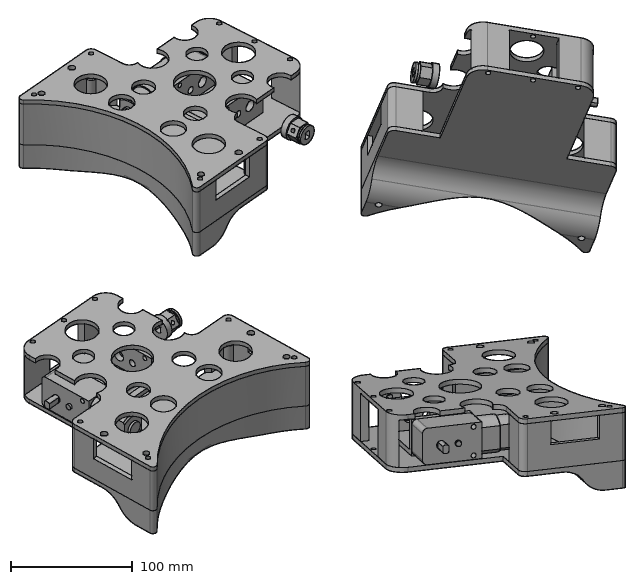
import cadquery as cq
import math


width = 194.37
length = 189.54
height = 69.77
plate = 4.24
saddle_drop = 19.8
wall_height = height - saddle_drop - 2 * plate
cover_z = plate + wall_height

half_width = width / 2
neck_half = 53.9
shoulder_y = -97.2
arc_apex_y = -152.6
rear_corner_r = 14.14
notch_r = 8.49
shoulder_corner_r = 5.66
tip_r = 3.54

wall = 4.24
rear_wall = 7.07
rear_wall_fillet = 1.4
rear_opening = 42.4
window_length = 42.4
window_height = 20.5
window_rear_y = -123.4
post_r = 4.24
post_height = 21.2
shoulder_gap_half = 68.5

screw_d = 4.24
rear_screw_x = 38.2
rear_screw_y = -rear_wall / 2
shoulder_screw = (91.1, -103.5)
tip_screw = (89.8, -177.2)
through_hole = (86.2, -172.0)
through_hole_d = 5.66
cover_hole = (90.2, -129.0)
cover_hole_d = 6.2

centre_openings = [(0, -23.6, 28.0), (0, -79.3, 34.9)]
paired_openings = [
    (51.8, -31.3, 22.0),
    (48.2, -76.1, 26.8),
    (24.7, -47.6, 18.2),
    (27.9, -111.0, 19.6),
    (27.9, -138.7, 21.5),
    (63.8, -135.9, 27.3),
]

saddle_start_y = -133.7
saddle_end_y = -171.0

gearbox_height = 31.7
gearbox_left = -53.2
gearbox_rear_y = -27.2
gearbox_front_y = -78.9
gearbox_corner_r = 4.24
mount_left = -28.0
mount_right = 29.0
mount_rear_y = -26.8
mount_front_y = -79.4
mount_wall = 5.66
mount_floor = 4.24
axis_y = -43.3
axis_z = plate + gearbox_height / 2
shaft_d = 7.6
shaft_flats = 5.3
shaft_length = 11.8
shaft_collar = 0.5
peg_y = -58.1
peg_d = 5.0
peg_length = 2.1
motor_screw_y = -71.8
motor_screw_dz = 12.4
shaft_clearance_d = 9.9
peg_clearance_d = 6.3
motor_axis_x = -39.6
neck_half_width = 11.6
can_half_width = 10.4
can_flat_half = 10.1
neck_rise = gearbox_height / 2
can_rise = 14.6
neck_end_y = -95.9
can_end_y = -107.7
cap_end_y = -115.6
cap_chamfer = 1.4
cap_rise = 13.4
bearing_r = 6.2
bearing_end_y = -118.0
terminal_reach = 2.0
terminal_rear_y = -107.9
terminal_width = 4.3
terminal_height = 2.8

hub_left = 71.4
flange_r = 10.4
flange_length = 5.7
hex_radius = 9.65
hex_length = 9.9
groove_r = 7.8
groove_length = 2.0
ring_r = 8.7
ring_length = 2.2
set_screw_d = 3.5
set_screw_from_flange = 4.6


def box(x0, x1, y0, y1, z0, z1):
    """Axis-aligned block between two opposite corners."""
    return cq.Workplane("XY").box(x1 - x0, y1 - y0, z1 - z0, centered=False).translate((x0, y0, z0))


def cylinder_x(x0, x1, y, z, diameter):
    """Cylinder lying along X."""
    return cq.Workplane("YZ", origin=(x0, y, z)).circle(diameter / 2).extrude(x1 - x0)


def cylinders_z(points, diameter, z0, z1):
    """Upright cylinders at the given points."""
    return cq.Workplane("XY", origin=(0, 0, z0)).pushPoints(points).circle(diameter / 2).extrude(z1 - z0)


def mirrored(points):
    """The points together with their mirror images across X = 0."""
    return [(side * x, y) for x, y in points for side in (-1, 1)]


tip_x = half_width - tip_r
tip_y = -length + tip_r
arc_drop = arc_apex_y - tip_y
front_arc_r = (tip_x**2 + arc_drop**2 - tip_r**2) / (2 * (tip_r + arc_drop))
arc_centre_y = arc_apex_y - front_arc_r


def plan_prism(z0, z1, rounded_notch):
    """Upright prism with the full plan outline; the inner corners at the shoulders may be rounded."""
    reach = front_arc_r / (front_arc_r + tip_r)
    touch_x = tip_x * reach
    touch_y = arc_centre_y + (tip_y - arc_centre_y) * reach
    middle = math.atan2(arc_centre_y - tip_y, -tip_x) / 2
    middle_x = tip_x + tip_r * math.cos(middle)
    middle_y = tip_y + tip_r * math.sin(middle)
    prism = (
        cq.Workplane("XY", origin=(0, 0, z0))
        .moveTo(-neck_half, 0)
        .lineTo(neck_half, 0)
        .lineTo(neck_half, shoulder_y)
        .lineTo(half_width, shoulder_y)
        .lineTo(half_width, tip_y)
        .threePointArc((middle_x, middle_y), (touch_x, touch_y))
        .threePointArc((0, arc_apex_y), (-touch_x, touch_y))
        .threePointArc((-middle_x, middle_y), (-half_width, tip_y))
        .lineTo(-half_width, shoulder_y)
        .lineTo(-neck_half, shoulder_y)
        .close()
        .extrude(z1 - z0)
    )

    def round_edges(body, x, y, radius):
        for side in (-1, 1):
            corner = cq.selectors.NearestToPointSelector((side * x, y, (z0 + z1) / 2))
            body = body.edges("|Z").edges(corner).fillet(radius)
        return body

    prism = round_edges(prism, neck_half, 0, rear_corner_r)
    if rounded_notch:
        prism = round_edges(prism, neck_half, shoulder_y, notch_r)
    return round_edges(prism, half_width, shoulder_y, shoulder_corner_r)


rear_screws = [(-rear_screw_x, rear_screw_y), (0, rear_screw_y), (rear_screw_x, rear_screw_y)]


def drill_through(body):
    """Rear screw holes and front dowel holes, shared by base, walls and cover."""
    body = body.cut(cylinders_z(rear_screws, screw_d, -saddle_drop, cover_z + plate))
    return body.cut(cylinders_z(mirrored([through_hole]), through_hole_d, -saddle_drop, cover_z + plate))


def make_cover():
    """Cover plate with the rear wall hanging from it in two pieces beside a central opening."""
    top = cover_z + plate
    prism = plan_prism(plate, top, rounded_notch=True)
    plate_part = prism.intersect(box(-half_width, half_width, -length, 0, cover_z, top))
    rear = prism.intersect(box(-neck_half, neck_half, -rear_wall, 0, plate, cover_z))
    rear = rear.cut(box(-rear_opening / 2, rear_opening / 2, -rear_wall, 0, plate, cover_z))
    cover = plate_part.union(rear)
    near = rear_wall_fillet / 2
    inner_corners = cq.selectors.BoxSelector((-neck_half, -rear_wall - near, cover_z - near),
                                             (neck_half, -rear_wall + near, cover_z + near))
    cover = cover.edges(inner_corners).fillet(rear_wall_fillet)

    holes = [(point, screw_d) for point in mirrored([shoulder_screw, tip_screw])]
    holes += [(point, cover_hole_d) for point in mirrored([cover_hole])]
    holes += [((x, y), diameter) for x, y, diameter in centre_openings]
    holes += [(point, diameter) for x, y, diameter in paired_openings for point in mirrored([(x, y)])]
    for point, diameter in holes:
        cover = cover.cut(cylinders_z([point], diameter, cover_z, top))
    return drill_through(cover)


def make_shell():
    """Shoulder, side and curved front walls around an open interior, with screw posts and windows."""
    inner_x = half_width - wall
    inner_y = shoulder_y - wall
    prism = plan_prism(plate, cover_z, rounded_notch=False).intersect(
        box(-half_width, half_width, -length, shoulder_y, plate, cover_z))
    interior = box(-inner_x, inner_x, -length, inner_y, plate, cover_z)
    interior = interior.cut(cylinders_z([(0, arc_centre_y)], 2 * (front_arc_r + wall), plate, cover_z))
    inner_gap_half = shoulder_gap_half + wall
    passage = (
        cq.Workplane("XY", origin=(0, 0, plate))
        .polyline([(-shoulder_gap_half, shoulder_y), (shoulder_gap_half, shoulder_y),
                   (inner_gap_half, inner_y), (-inner_gap_half, inner_y)])
        .close()
        .extrude(wall_height)
    )
    posts = cylinders_z(mirrored([shoulder_screw]), 2 * post_r, plate, plate + post_height)
    shell = prism.cut(interior).cut(passage).union(posts.intersect(prism))

    for window_left, window_right in ((-half_width, -inner_x), (inner_x, half_width)):
        shell = shell.cut(box(window_left, window_right, window_rear_y - window_length, window_rear_y,
                              cover_z - window_height, cover_z))
    shell = shell.cut(cylinders_z(mirrored([shoulder_screw]), screw_d, plate, plate + post_height))
    return drill_through(shell)


def make_mount():
    """Upright channel that carries the gearmotor on its side walls."""
    top = plate + gearbox_height
    mount = box(mount_left, mount_right, mount_front_y, mount_rear_y, plate, top)
    mount = mount.cut(box(mount_left + mount_wall, mount_right - mount_wall, mount_front_y, mount_rear_y,
                          plate + mount_floor, top))
    mount = mount.cut(cylinder_x(mount_left, mount_right, axis_y, axis_z, shaft_clearance_d))
    mount = mount.cut(cylinder_x(mount_left, mount_right, peg_y, axis_z, peg_clearance_d))
    for dz in (-motor_screw_dz, motor_screw_dz):
        mount = mount.cut(cylinder_x(mount_left, mount_right, motor_screw_y, axis_z + dz, screw_d))
    return mount


def make_base():
    """Base plate with the saddle under its front part and the motor mount on top."""
    block = plan_prism(-saddle_drop, plate, rounded_notch=False)
    run = saddle_start_y - saddle_end_y
    bend_r = (run**2 + saddle_drop**2) / (4 * saddle_drop)
    bend = 2 * math.atan2(saddle_drop, run)
    quarter_y = bend_r * math.sin(bend / 2)
    quarter_z = bend_r * (1 - math.cos(bend / 2))
    middle = ((saddle_start_y + saddle_end_y) / 2, -saddle_drop / 2)
    below = (
        cq.Workplane("YZ", origin=(-half_width, 0, 0))
        .moveTo(0, 0)
        .lineTo(saddle_start_y, 0)
        .threePointArc((saddle_start_y - quarter_y, -quarter_z), middle)
        .threePointArc((saddle_end_y + quarter_y, quarter_z - saddle_drop), (saddle_end_y, -saddle_drop))
        .lineTo(0, -saddle_drop)
        .close()
        .extrude(width)
    )
    return drill_through(block.cut(below)).union(make_mount())


def can_section(rear_y, front_y, half_across, rise):
    """Length of the motor barrel: flat sides with a rounded top and bottom of the given rise."""
    return (
        cq.Workplane("XZ", origin=(motor_axis_x, rear_y, axis_z))
        .moveTo(-half_across, -can_flat_half)
        .lineTo(-half_across, can_flat_half)
        .threePointArc((0, rise), (half_across, can_flat_half))
        .lineTo(half_across, -can_flat_half)
        .threePointArc((0, -rise), (-half_across, -can_flat_half))
        .close()
        .extrude(rear_y - front_y)
    )


def double_flat_shaft(x0, x1):
    """Round bar along the output axis with two flats facing +Y and -Y."""
    shaft = cylinder_x(x0, x1, axis_y, axis_z, shaft_d)
    return shaft.intersect(box(x0, x1, axis_y - shaft_flats / 2, axis_y + shaft_flats / 2,
                               axis_z - shaft_d, axis_z + shaft_d))


def make_gearmotor():
    gearbox = box(gearbox_left, mount_left, gearbox_front_y, gearbox_rear_y, plate, plate + gearbox_height)
    gearbox = gearbox.edges("|X and >Y").fillet(gearbox_corner_r)
    for dz in (-motor_screw_dz, motor_screw_dz):
        gearbox = gearbox.cut(cylinder_x(gearbox_left, mount_left, motor_screw_y, axis_z + dz, screw_d))

    shaft = double_flat_shaft(gearbox_left - shaft_length, gearbox_left)
    shaft = shaft.union(cylinder_x(gearbox_left - shaft_collar, gearbox_left, axis_y, axis_z, shaft_d))
    peg = cylinder_x(gearbox_left - peg_length, gearbox_left, peg_y, axis_z, peg_d)
    neck = can_section(gearbox_front_y, neck_end_y, neck_half_width, neck_rise)
    can = can_section(neck_end_y, can_end_y, can_half_width, can_rise)
    cap = can_section(can_end_y, cap_end_y, can_half_width, cap_rise)
    cap = cap.faces("<Y").edges("%CIRCLE").chamfer(cap_chamfer)
    bearing = cq.Workplane("XZ", origin=(motor_axis_x, cap_end_y, axis_z)).circle(bearing_r)
    bearing = bearing.extrude(cap_end_y - bearing_end_y)
    side_x = motor_axis_x + can_half_width
    terminal = box(side_x, side_x + terminal_reach, terminal_rear_y - terminal_width, terminal_rear_y,
                   axis_z - terminal_height / 2, axis_z + terminal_height / 2)

    motor = gearbox
    for piece in (shaft, peg, neck, can, cap, bearing, terminal):
        motor = motor.union(piece)
    return motor


def make_hub():
    """Hexagonal wheel hub on the output axis: flange, hexagon, groove and end ring."""
    hex_left = hub_left + flange_length
    groove_left = hex_left + hex_length
    ring_left = groove_left + groove_length
    hub_right = ring_left + ring_length
    flange = cylinder_x(hub_left, hex_left, axis_y, axis_z, 2 * flange_r)
    hexagon = cq.Workplane("YZ", origin=(hex_left, axis_y, axis_z)).polygon(6, 2 * hex_radius)
    hexagon = hexagon.extrude(hex_length)
    groove = cylinder_x(groove_left, ring_left, axis_y, axis_z, 2 * groove_r)
    ring = cylinder_x(ring_left, hub_right, axis_y, axis_z, 2 * ring_r)
    hub = flange.union(hexagon).union(groove).union(ring)
    hub = hub.cut(double_flat_shaft(hub_left, hub_right))

    face_tilt = math.pi / 6
    outward = cq.Vector(0, -math.cos(face_tilt), math.sin(face_tilt))
    start = cq.Vector(hex_left + set_screw_from_flange, axis_y, axis_z)
    set_screw = cq.Solid.makeCylinder(set_screw_d / 2, hex_radius, start, outward)
    return hub.cut(cq.Workplane(obj=set_screw))


cover = make_cover()
shell = make_shell()
base = make_base()
gearmotor = make_gearmotor()
hub = make_hub()
bodies = [cover, shell, base, gearmotor, hub]
result = cq.Compound.makeCompound([body.solids().val() for body in bodies])